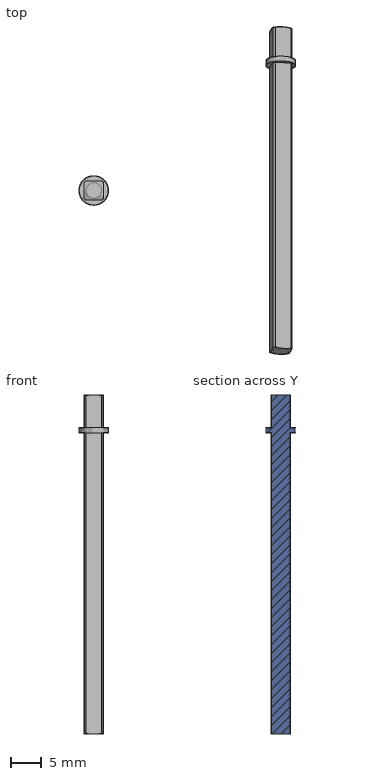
import cadquery as cq
import math

length = 55.35
shaft_width = 3.15
corner_chamfer = 0.3

collar_diameter = 4.8
collar_thickness = 0.85
collar_top = length - 5.35

tip_diameter = 2.55
crown_radius = 2.0


def turned_envelope():
    """Solid of revolution that crowns both ends of the shaft."""
    tip_radius = tip_diameter / 2
    outer_radius = shaft_width / math.sqrt(2)

    def crown_drop(reach):
        return crown_radius - math.sqrt(crown_radius**2 - reach**2)

    reach = outer_radius - tip_radius
    mid_radius = tip_radius + reach / 2
    mid_drop = crown_drop(reach / 2)
    end_drop = crown_drop(reach)
    profile = (
        cq.Workplane("XZ")
        .lineTo(tip_radius, 0)
        .threePointArc((mid_radius, mid_drop), (outer_radius, end_drop))
        .lineTo(outer_radius, length - end_drop)
        .threePointArc((mid_radius, length - mid_drop), (tip_radius, length))
        .lineTo(0, length)
        .close()
    )
    return profile.revolve(360, (0, 0), (0, 1))


def square_shaft():
    """Square bar with chamfered long edges and crowned ends."""
    bar = cq.Workplane("XY").rect(shaft_width, shaft_width).extrude(length)
    return bar.edges("|Z").chamfer(corner_chamfer).intersect(turned_envelope())


def collar():
    """Plain round disc around the shaft."""
    bottom = cq.Workplane("XY").workplane(offset=collar_top - collar_thickness)
    return bottom.circle(collar_diameter / 2).extrude(collar_thickness)


result = square_shaft().union(collar())